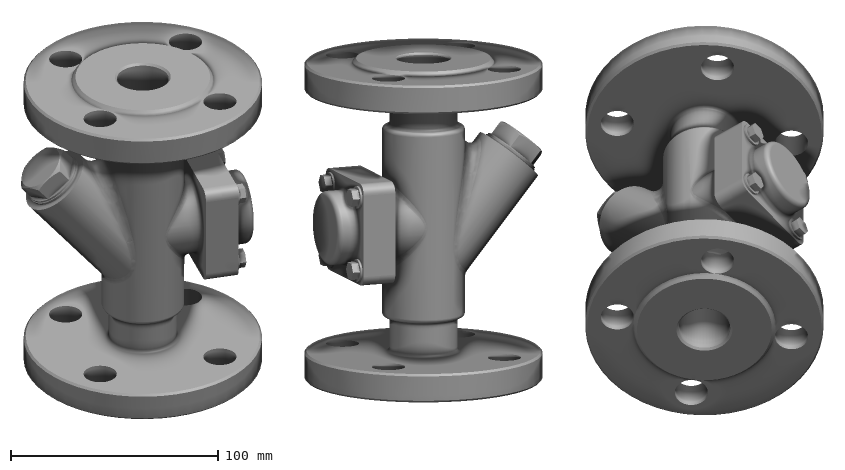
import cadquery as cq
import math

half_height = 80.0
raised_face_height = 2.0
raised_face_base_diameter = 68.8
raised_face_diameter = 65.0
flange_diameter = 115.0
flange_back = 64.0
flange_chamfer = 1.0
flange_hole_diameter = 16.0
flange_hole_circle = 85.0
flange_hole_count = 4
flange_hole_start_angle = 45.0
pipe_diameter = 33.0
pipe_root_fillet = 1.5
bore_diameter = 25.0
bore_chamfer = 1.0

barrel_diameter = 40.0
barrel_half_length = 47.0
barrel_end_fillet = (barrel_diameter - pipe_diameter) / 2 - pipe_root_fillet
bore_depth = half_height - barrel_half_length

branch_angle = 40.0
branch_diameter = 35.0
branch_length = 69.0
branch_origin_z = -23.4
branch_fillet = 5.0

gasket_diameter = 29.0
gasket_thickness = 1.2
plug_collar_diameter = 28.0
plug_collar_thickness = 1.0
plug_hex_flats = 24.0
plug_hex_height = 8.55
plug_hex_crown_diameter = 23.0
plug_chamfer_angle = 30.0
plug_shank_diameter = 25.0
plug_shank_length = 12.0

plate_size = 50.0
plate_corner_radius = 5.0
plate_thickness = 8.2
body_plate_back = 24.5
neck_diameter = 38.0
neck_body_fillet = 2.9
neck_plate_fillet = 1.5
dome_diameter = 36.0
dome_height = 10.2
dome_edge_fillet = 2.5
dome_root_fillet = 1.5
joint_y = body_plate_back + plate_thickness
cover_face_y = joint_y + plate_thickness

bolt_offset = 18.0
bolt_diameter = 6.0
bolt_clearance_diameter = 6.4
bolt_flange_diameter = 11.0
bolt_flange_thickness = 1.0
bolt_head_flats = 8.0
bolt_head_height = 3.6
bolt_length = 14.0

bolt_positions = [(x, z) for x in (-bolt_offset, bolt_offset) for z in (-bolt_offset, bolt_offset)]


def branch_plane():
    """Plane across the branch axis, with its origin where that axis meets the barrel axis."""
    lean = math.radians(branch_angle)
    return cq.Plane(
        origin=(0, 0, branch_origin_z),
        xDir=(1, 0, 0),
        normal=(0, -math.sin(lean), math.cos(lean)),
    )


def branch_section(distance):
    """Workplane across the branch axis at a distance from its origin."""
    return cq.Workplane(branch_plane()).workplane(offset=distance)


def chamber_section(y):
    """Workplane facing +Y; its local x runs along -X and its local y along +Z."""
    return cq.Workplane("XZ", origin=(0, y, 0)).transformed(rotate=(0, 180, 0))


def hexagon_corners(flats):
    """Width across the corners of a hexagon, from its width across the flats."""
    return flats / math.cos(math.pi / 6)


def square_plate(y):
    """Square plate with rounded corners that grows towards +Y from the given place."""
    plate = chamber_section(y).rect(plate_size, plate_size).extrude(plate_thickness)
    return plate.edges("|Y").fillet(plate_corner_radius)


def make_pipe_profile():
    """Half outline of one pipe end with its flange, from the middle of the barrel to the raised face."""
    barrel_radius = barrel_diameter / 2
    pipe_radius = pipe_diameter / 2
    flange_radius = flange_diameter / 2
    flange_front = half_height - raised_face_height
    diagonal = math.sqrt(0.5)
    root_drop = pipe_root_fillet * (1 - diagonal)
    end_drop = barrel_end_fillet * (1 - diagonal)
    return (
        cq.Workplane("XZ")
        .lineTo(barrel_radius, 0)
        .lineTo(barrel_radius, barrel_half_length - barrel_end_fillet)
        .threePointArc(
            (barrel_radius - end_drop, barrel_half_length - end_drop),
            (barrel_radius - barrel_end_fillet, barrel_half_length),
        )
        .threePointArc(
            (pipe_radius + root_drop, barrel_half_length + root_drop),
            (pipe_radius, barrel_half_length + pipe_root_fillet),
        )
        .lineTo(pipe_radius, flange_back - pipe_root_fillet)
        .threePointArc(
            (pipe_radius + root_drop, flange_back - root_drop),
            (pipe_radius + pipe_root_fillet, flange_back),
        )
        .lineTo(flange_radius - flange_chamfer, flange_back)
        .lineTo(flange_radius, flange_back + flange_chamfer)
        .lineTo(flange_radius, flange_front - flange_chamfer)
        .lineTo(flange_radius - flange_chamfer, flange_front)
        .lineTo(raised_face_base_diameter / 2, flange_front)
        .lineTo(raised_face_diameter / 2, half_height)
        .lineTo(0, half_height)
        .close()
    )


def make_flow_bore():
    """Blind bore with a chamfered mouth, cut into the upper flange face."""
    bore_floor = half_height - bore_depth
    bore = cq.Workplane("XY", origin=(0, 0, bore_floor)).circle(bore_diameter / 2).extrude(bore_depth)
    mouth = (
        cq.Workplane("XY", origin=(0, 0, half_height - bore_chamfer))
        .circle(bore_diameter / 2)
        .workplane(offset=bore_chamfer)
        .circle(bore_diameter / 2 + bore_chamfer)
        .loft(ruled=True)
    )
    return bore.union(mouth)


def make_flanged_end():
    """Upper half of the barrel with its pipe and drilled, bored flange."""
    end = make_pipe_profile().revolve(360, (0, 0), (0, 1))
    holes = (
        cq.Workplane("XY", origin=(0, 0, flange_back))
        .polarArray(flange_hole_circle / 2, flange_hole_start_angle, 360, flange_hole_count)
        .circle(flange_hole_diameter / 2)
        .extrude(half_height - flange_back)
    )
    return end.cut(holes).cut(make_flow_bore())


def make_barrel():
    """Full-length barrel: the upper flanged end and its mirror image below."""
    upper_end = make_flanged_end()
    return upper_end.union(upper_end.mirror("XY"))


def make_neck():
    """Check chamber neck, from the barrel axis to a fillet that spreads onto the square plate."""
    radius = neck_diameter / 2
    fillet_start = body_plate_back - neck_plate_fillet
    inset = neck_plate_fillet * (1 - math.sqrt(0.5))
    return (
        cq.Workplane("XY")
        .lineTo(radius, 0)
        .lineTo(radius, fillet_start)
        .threePointArc(
            (radius + inset, body_plate_back - inset),
            (radius + neck_plate_fillet, body_plate_back),
        )
        .lineTo(0, body_plate_back)
        .close()
        .revolve(360, (0, 0), (0, 1))
    )


def make_body():
    """Valve casting: flanged barrel, strainer branch and the check chamber neck with its plate."""
    barrel = make_barrel()
    branch = branch_section(0).circle(branch_diameter / 2).extrude(branch_length)

    seams = "not(%CIRCLE or %LINE)"
    branched = barrel.union(branch).edges(seams).fillet(branch_fillet)
    necked = barrel.union(make_neck()).edges(seams).fillet(neck_body_fillet)
    body = branched.union(necked).union(square_plate(body_plate_back))

    plug_hole_floor = branch_length - plug_shank_length
    plug_hole = branch_section(plug_hole_floor).circle(plug_shank_diameter / 2).extrude(plug_shank_length)
    return body.cut(plug_hole).cut(make_bolt_shanks(bolt_diameter))


def make_cover():
    """Square cover plate with a round dome, drilled for the bolts."""
    dome = chamber_section(cover_face_y).circle(dome_diameter / 2).extrude(dome_height)
    cover = square_plate(joint_y).union(dome)
    cover = cover.faces(">Y").edges().fillet(dome_edge_fillet)
    half_dome = dome_diameter / 2 + dome_root_fillet
    around_dome_root = cq.selectors.BoxSelector(
        (-half_dome, cover_face_y - dome_root_fillet, -half_dome),
        (half_dome, cover_face_y + dome_root_fillet, half_dome),
        boundingbox=True,
    )
    cover = cover.edges(around_dome_root).fillet(dome_root_fillet)
    return cover.cut(make_bolt_shanks(bolt_clearance_diameter))


def make_bolt_shanks(diameter):
    """Four cylinders that reach from the cover face to the bolt tips."""
    return (
        chamber_section(cover_face_y - bolt_length)
        .pushPoints(bolt_positions)
        .circle(diameter / 2)
        .extrude(bolt_length)
    )


def make_bolt(position):
    """Bolt with a round flange under its hexagon head; two head corners point along X."""
    shank = chamber_section(cover_face_y - bolt_length).center(*position)
    shank = shank.circle(bolt_diameter / 2).extrude(bolt_length)
    flange = chamber_section(cover_face_y).center(*position)
    flange = flange.circle(bolt_flange_diameter / 2).extrude(bolt_flange_thickness)
    head = chamber_section(cover_face_y + bolt_flange_thickness).center(*position)
    head = head.polygon(6, hexagon_corners(bolt_head_flats)).extrude(bolt_head_height)
    return shank.union(flange).union(head)


def make_gasket():
    """Flat ring on the branch end, around the plug shank."""
    return (
        branch_section(branch_length)
        .circle(gasket_diameter / 2)
        .circle(plug_shank_diameter / 2)
        .extrude(gasket_thickness)
    )


def make_plug():
    """Plug with a threaded shank, a round collar on the gasket and a crowned hexagon."""
    collar_base = branch_length + gasket_thickness
    hex_base = collar_base + plug_collar_thickness
    corner_radius = hexagon_corners(plug_hex_flats) / 2
    crown_radius = plug_hex_crown_diameter / 2
    crown_drop = (corner_radius - crown_radius) * math.tan(math.radians(plug_chamfer_angle))

    shank_base = branch_length - plug_shank_length
    shank = branch_section(shank_base).circle(plug_shank_diameter / 2)
    shank = shank.extrude(plug_shank_length + gasket_thickness)
    collar = branch_section(collar_base).circle(plug_collar_diameter / 2).extrude(plug_collar_thickness)
    hexagon = (
        branch_section(hex_base)
        .transformed(rotate=(0, 0, 90))
        .polygon(6, hexagon_corners(plug_hex_flats))
        .extrude(plug_hex_height)
    )
    crown = branch_section(hex_base).circle(corner_radius).extrude(plug_hex_height)
    crown = crown.faces(cq.selectors.DirectionMinMaxSelector(branch_plane().zDir)).edges()
    crown = crown.chamfer(crown_drop, corner_radius - crown_radius)
    return shank.union(collar).union(hexagon.intersect(crown))


body = make_body()
cover = make_cover()
plug = make_plug()
gasket = make_gasket()
bolts = [make_bolt(position) for position in bolt_positions]

result = cq.Compound.makeCompound(
    [body.val(), cover.val(), plug.val(), gasket.val(), *[bolt.val() for bolt in bolts]]
)